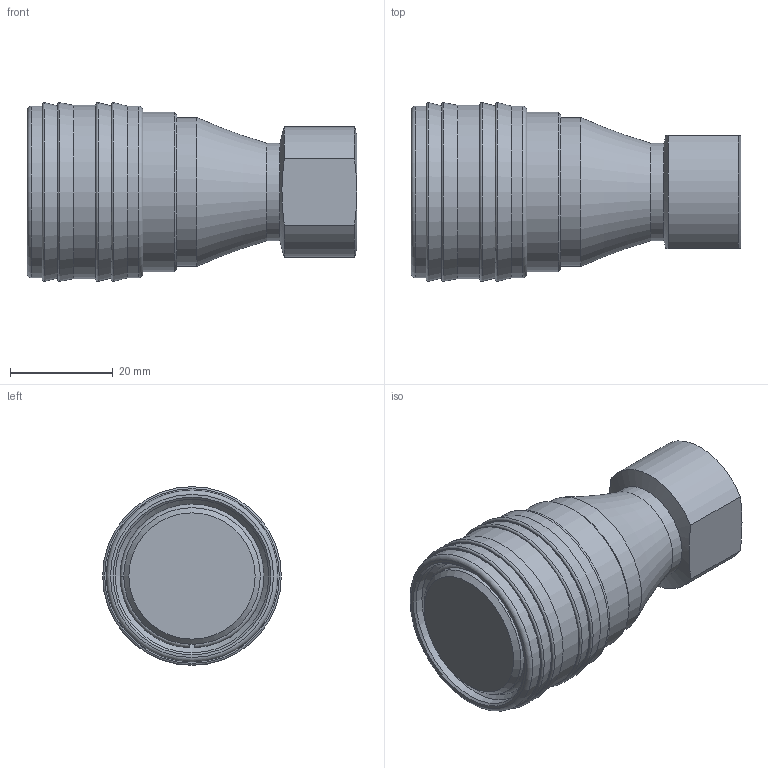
import cadquery as cq
import math


sleeve_radius = 33.45 / 2
sleeve_end = 22.55
sleeve_fillet = 0.85
band_radius = 33.8 / 2
rib_radius = 34.8 / 2
rib_fillet = 0.4
rib_taper_length = 3.1
rib_pitch = 3.0
front_ribs_start = 2.95
rear_ribs_start = 13.4

shoulder_radius = 31 / 2
shoulder_end = 29.1
shoulder_chamfer = 0.5
collar_radius = 29 / 2
collar_end = 33.05
waist_curve_radius = 100.0
neck_radius = 19 / 2
neck_start = 46.65

nut_start = 49.2
nut_end = 64.2
nut_radius = 25.5 / 2
across_flats = 22.0
nut_bevel = math.tan(math.radians(15))

mouth_radius = 29.9 / 2
mouth_chamfer = 0.4
mouth_depth = 2.0
core_radius = 26.6 / 2
core_chamfer = 1.0
seat_end = mouth_depth + mouth_radius - core_radius

wire_radius = 0.7
wire_x = seat_end - wire_radius * math.sqrt(2)
ring_gap = 1.0

AXIS_START = (0, 0, 0)
AXIS_END = (1, 0, 0)


def quarter_arc(profile, corner_center, radius, end, side):
    """Draw a convex quarter round; side is -1 on the -X side of its centre, +1 on the +X side."""
    reach = radius * math.sqrt(0.5)
    middle = (corner_center[0] + side * reach, corner_center[1] + reach)
    return profile.threePointArc(middle, end)


def add_rib_pair(profile, start, foot_radius):
    """Draw two saw-tooth ribs; the taper of the second one ends at foot_radius."""
    slope = (rib_radius - sleeve_radius) / (rib_taper_length - rib_fillet)
    for rib_start, end_x in (
        (start, start + rib_pitch),
        (start + rib_pitch, start + rib_pitch + rib_taper_length),
    ):
        crest_x = rib_start + rib_fillet
        shoulder_r = rib_radius - rib_fillet
        profile = profile.lineTo(rib_start, shoulder_r)
        profile = quarter_arc(profile, (crest_x, shoulder_r), rib_fillet, (crest_x, rib_radius), -1)
        if rib_start == start:
            end_radius = rib_radius - slope * (end_x - crest_x)
        else:
            end_radius = foot_radius
        profile = profile.lineTo(end_x, end_radius)
    return profile


def add_core_and_mouth(profile):
    """Draw the front core, its half-round wire groove and the mouth out to the sleeve rim."""
    return (
        profile
        .lineTo(0, core_radius - core_chamfer)
        .lineTo(core_chamfer, core_radius)
        .lineTo(wire_x - wire_radius, core_radius)
        .threePointArc((wire_x, core_radius - wire_radius), (wire_x + wire_radius, core_radius))
        .lineTo(seat_end, core_radius)
        .lineTo(mouth_depth, mouth_radius)
        .lineTo(mouth_chamfer, mouth_radius)
        .lineTo(0, mouth_radius + mouth_chamfer)
    )


def add_sleeve(profile):
    """Draw the rounded sleeve with two rib pairs and the plain band between them."""
    inner_r = sleeve_radius - sleeve_fillet
    profile = profile.lineTo(0, inner_r)
    profile = quarter_arc(
        profile, (sleeve_fillet, inner_r), sleeve_fillet, (sleeve_fillet, sleeve_radius), -1
    )
    profile = profile.lineTo(front_ribs_start, sleeve_radius)
    profile = add_rib_pair(profile, front_ribs_start, band_radius)
    profile = profile.lineTo(rear_ribs_start, band_radius)
    profile = add_rib_pair(profile, rear_ribs_start, sleeve_radius)
    round_x = sleeve_end - sleeve_fillet
    profile = profile.lineTo(round_x, sleeve_radius)
    return quarter_arc(profile, (round_x, inner_r), sleeve_fillet, (sleeve_end, inner_r), 1)


def add_shoulder_and_neck(profile):
    """Draw the stepped shoulder and the concave waist that runs down to the neck."""
    return (
        profile
        .lineTo(sleeve_end, shoulder_radius)
        .lineTo(shoulder_end - shoulder_chamfer, shoulder_radius)
        .lineTo(shoulder_end, shoulder_radius - shoulder_chamfer)
        .lineTo(shoulder_end, collar_radius)
        .lineTo(collar_end, collar_radius)
        .radiusArc((neck_start, neck_radius), -waist_curve_radius)
        .lineTo(nut_start, neck_radius)
    )


def add_nut(profile):
    """Draw the round nut, bevelled from the neck in front and down to the flats at the end."""
    front_bevel = (nut_radius - neck_radius) * nut_bevel
    end_radius = across_flats / 2
    end_bevel = (nut_radius - end_radius) * nut_bevel
    return (
        profile
        .lineTo(nut_start + front_bevel, nut_radius)
        .lineTo(nut_end - end_bevel, nut_radius)
        .lineTo(nut_end, end_radius)
        .lineTo(nut_end, 0)
    )


def cut_wrench_flats(body):
    """Trim the nut to two flats facing -Y and +Y."""
    nut_length = nut_end - nut_start
    flat_depth = nut_radius
    for side in (-1, 1):
        cutter = cq.Workplane("XY").box(nut_length, flat_depth, 2 * nut_radius).translate(
            (nut_start + nut_length / 2, side * (across_flats + flat_depth) / 2, 0)
        )
        body = body.cut(cutter)
    return body


def make_coupling_body():
    profile = cq.Workplane("XY").moveTo(0, 0)
    profile = add_core_and_mouth(profile)
    profile = add_sleeve(profile)
    profile = add_shoulder_and_neck(profile)
    profile = add_nut(profile)
    body = profile.close().revolve(360, AXIS_START, AXIS_END)
    return cut_wrench_flats(body)


def make_snap_ring():
    """Round-wire ring with a gap at its lowest point."""
    wire = (
        cq.Workplane("XY")
        .center(wire_x, core_radius)
        .circle(wire_radius)
        .revolve(360, (0, -core_radius, 0), (1, -core_radius, 0))
    )
    cutter_size = 4 * wire_radius
    gap_cutter = cq.Workplane("XY").box(cutter_size, ring_gap, cutter_size).translate(
        (wire_x, 0, -core_radius)
    )
    return wire.cut(gap_cutter)


coupling_body = make_coupling_body()
snap_ring = make_snap_ring()

result = cq.Compound.makeCompound([coupling_body.solids().val(), snap_ring.solids().val()])